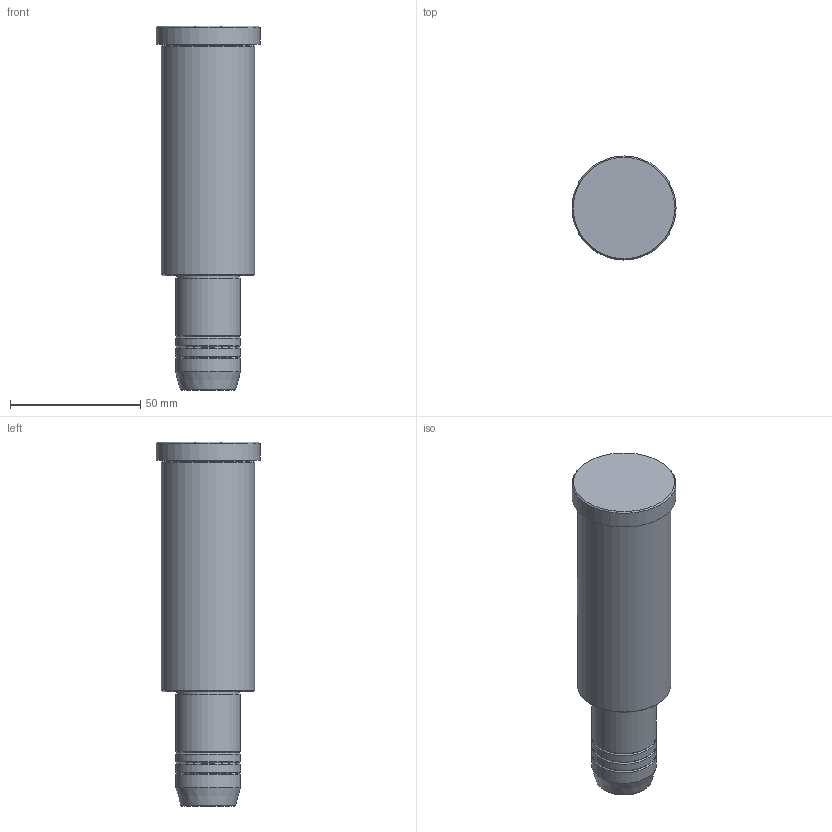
import math

import cadquery as cq

total_length = 140.0
head_height = 7.0
body_bottom = 44.0
body_top = total_length - head_height

head_radius = 20.0
body_radius = 18.0
shank_radius = 12.5

head_chamfer = 0.5
body_chamfer = 0.5
tip_fillet = 0.5

groove_width = 1.0
groove_depth = 0.5
groove_count = 3
groove_pitch = 4.0
lowest_groove_center = 12.5

relief_width = 1.0
relief_depth = 0.5

lead_in_height = 7.0
lead_in_angle = math.radians(15)
tip_radius = shank_radius - lead_in_height * math.tan(lead_in_angle)


def cylinder(radius, bottom, top):
    """Solid cylinder on the Z axis between two heights."""
    return cq.Workplane("XY").workplane(offset=bottom).circle(radius).extrude(top - bottom)


def revolve_profile(points):
    """Solid of revolution about Z from a closed outline of (radius, height) points."""
    return cq.Workplane("XZ").polyline(points).close().revolve(360, (0, 0), (0, 1))


def v_groove(surface_radius, center_height):
    """Ring of triangular section that cuts a V groove into a cylinder."""
    half_width = groove_width / 2
    return revolve_profile(
        [
            (surface_radius, center_height - half_width),
            (surface_radius, center_height + half_width),
            (surface_radius - groove_depth, center_height),
        ]
    )


def make_head():
    """Flat head with a chamfered top edge."""
    head = cylinder(head_radius, body_top, total_length)
    return head.faces(">Z").edges().chamfer(head_chamfer)


def make_body():
    """Guide body with a V groove under the head and a chamfered lower edge."""
    body = cylinder(body_radius, body_bottom, body_top)
    body = body.faces("<Z").edges().chamfer(body_chamfer)
    return body.cut(v_groove(body_radius, body_top - groove_width / 2))


def make_shank():
    """Shank with a round-edged conical lead-in, V grooves and a relief below the body."""
    relief_bottom = body_bottom - relief_width
    relief_radius = shank_radius - relief_depth
    shank = revolve_profile(
        [
            (0, 0),
            (tip_radius, 0),
            (shank_radius, lead_in_height),
            (shank_radius, relief_bottom),
            (relief_radius, relief_bottom),
            (relief_radius, body_bottom),
            (0, body_bottom),
        ]
    )
    shank = shank.faces("<Z").edges().fillet(tip_fillet)
    for index in range(groove_count):
        shank = shank.cut(v_groove(shank_radius, lowest_groove_center + index * groove_pitch))
    return shank


result = make_head().union(make_body()).union(make_shank())